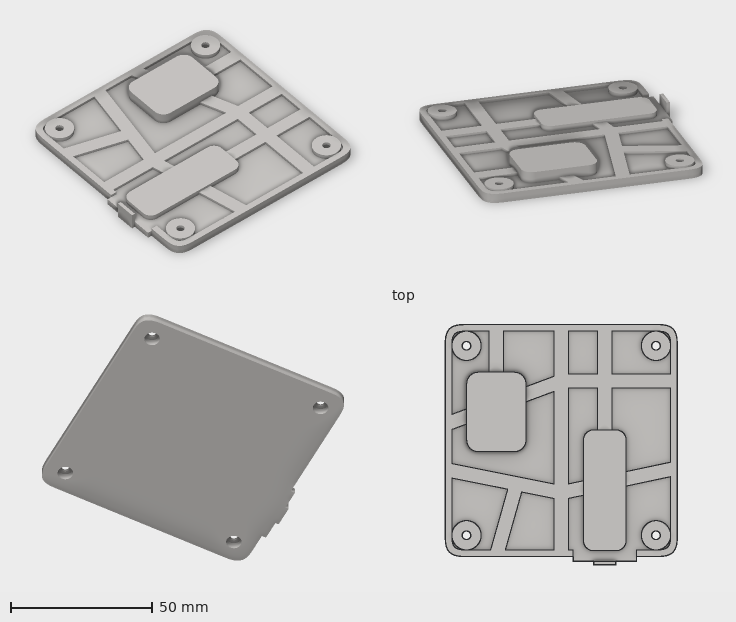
import cadquery as cq
import math

plate_size = 82.2
corner_reach = 7.15
corner_fullness = 0.75
floor_height = 2.4
rim_height = 3.5
rim_width = 2.4
half_plate = plate_size / 2
rim_centre = half_plate - rim_width / 2

rib_width = 5.0
upper_rib_y = 21.0
lower_rib_y = -18.5
upper_left_end_y = 6.1
lower_left_end_y = -10.5
lower_right_end_y = -9.95
brace_top = (-15.75, -15.15)
brace_foot_x = -22.7

boss_offset = 33.5
boss_diameter = 10.4
boss_height = 4.1
hole_diameter = 3.0
head_diameter = 5.5
head_depth = 3.0

block_width = 20.9
block_length = 28.1
block_height = 6.6
block_radius = 4.0
block_x = -23
block_y = 10.1

tab_x = 15.4
bar_width = 15.1
bar_length = 42.7
bar_height = 4.5
bar_radius = 3.5
bar_y = -17.6
tab_width = 22.5
tab_reach = 1.6
clip_width = 7.8
clip_thickness = 1.3
clip_height = 6.4


def rounded_pad(width, length, height, radius, x, y):
    """Rounded rectangle standing on z = 0, centred on (x, y)."""
    pad = cq.Workplane("XY").center(x, y).rect(width, length).extrude(height)
    return pad.edges("|Z").fillet(radius)


def box_from_front(width, y_front, y_back, z_bottom, z_top):
    """Box centred on the tab centreline in X."""
    return (
        cq.Workplane("XY", origin=(tab_x, (y_front + y_back) / 2, z_bottom))
        .rect(width, y_back - y_front)
        .extrude(z_top - z_bottom)
    )


def rib(start, end):
    """Straight rib whose centreline runs from start to end."""
    run = end[0] - start[0]
    rise = end[1] - start[1]
    return (
        cq.Workplane("XY")
        .rect(math.hypot(run, rise), rib_width)
        .extrude(rim_height)
        .rotate((0, 0, 0), (0, 0, 1), math.degrees(math.atan2(rise, run)))
        .translate(((start[0] + end[0]) / 2, (start[1] + end[1]) / 2, 0))
    )


def soft_square(side, reach, height):
    """Square standing on z = 0 whose corners are smooth curves starting `reach` before the sharp corner."""
    half = side / 2
    start = half - reach
    handle = start + corner_fullness * reach
    corner = [(half, start), (half, handle), (handle, half), (start, half)]
    outline = cq.Workplane("XY").moveTo(half, -start)
    for _ in range(4):
        outline = outline.lineTo(*corner[0]).bezier(corner[1:], includeCurrent=True)
        corner = [(-y, x) for x, y in corner]
    return outline.wire().extrude(height)


def plate_with_rim():
    inner_size = plate_size - 2 * rim_width
    plate = soft_square(plate_size, corner_reach, rim_height)
    recess = soft_square(inner_size, corner_reach - rim_width, rim_height)
    return plate.cut(recess.translate((0, 0, floor_height)))


rib_lines = [
    ((0, -rim_centre), (0, rim_centre)),
    ((0, upper_rib_y), (rim_centre, upper_rib_y)),
    ((0, upper_rib_y), (-rim_centre, upper_left_end_y)),
    ((0, lower_rib_y), (-rim_centre, lower_left_end_y)),
    ((0, lower_rib_y), (rim_centre, lower_right_end_y)),
    ((block_x, block_y), (block_x, rim_centre)),
    ((tab_x, bar_y), (tab_x, rim_centre)),
    (brace_top, (brace_foot_x, -rim_centre)),
]
result = plate_with_rim()
for start, end in rib_lines:
    result = result.union(rib(start, end))

tab_front = -half_plate - tab_reach
rim_inside = -half_plate + rim_width
clip_front = tab_front - clip_thickness
result = result.cut(box_from_front(tab_width, -half_plate, rim_inside, floor_height, rim_height))
result = result.union(box_from_front(tab_width, tab_front, rim_inside, 0, floor_height))
result = result.union(box_from_front(clip_width, clip_front, tab_front, 0, clip_height))

block = rounded_pad(block_width, block_length, block_height, block_radius, block_x, block_y)
bar = rounded_pad(bar_width, bar_length, bar_height, bar_radius, tab_x, bar_y)
result = result.union(block).union(bar)

boss_span = 2 * boss_offset
boss_centres = cq.Workplane("XY").rect(boss_span, boss_span, forConstruction=True).vertices()
result = result.union(boss_centres.circle(boss_diameter / 2).extrude(boss_height))
result = result.cut(boss_centres.circle(hole_diameter / 2).extrude(boss_height))
result = result.cut(boss_centres.circle(head_diameter / 2).extrude(head_depth))